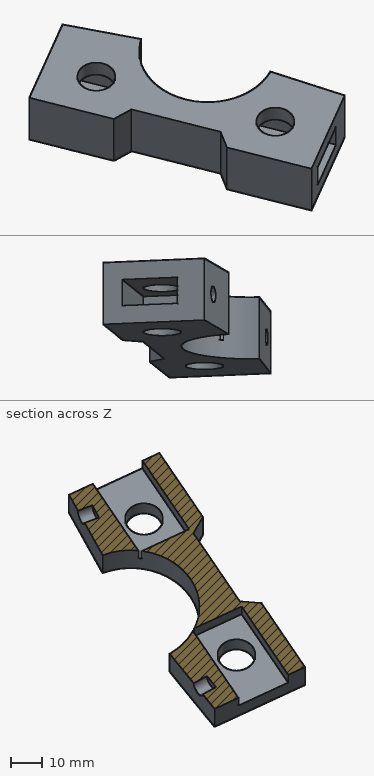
import cadquery as cq

length = 94.7
height = 20.0
peak_y = 35.1
end_y = 33.0

saddle_bottom_y = 15.2
saddle_half_width = 21.7

notch_depth = 5.7
notch_outer_half = 18.9
notch_inner_half = 15.0

bolt_diameter = 12.0
bolt_x = 30.0
bolt_y = 15.3

pocket_depth = 30.2
pocket_width = 18.0
pocket_height = 8.4
pocket_center_y = 15.2

screw_diameter = 5.0
screw_depth = 5.0
screw_x = 38.0

half_length = length / 2
mid_z = height / 2


def make_body():
    """Extrude the block outline with its saddle and front notch."""
    return (
        cq.Workplane("XY")
        .moveTo(-half_length, 0)
        .lineTo(-notch_outer_half, 0)
        .lineTo(-notch_inner_half, notch_depth)
        .lineTo(notch_inner_half, notch_depth)
        .lineTo(notch_outer_half, 0)
        .lineTo(half_length, 0)
        .lineTo(half_length, end_y)
        .lineTo(saddle_half_width, peak_y)
        .threePointArc((0, saddle_bottom_y), (-saddle_half_width, peak_y))
        .lineTo(-half_length, end_y)
        .close()
        .extrude(height)
    )


def make_pocket(side):
    """Rectangular pocket running inward from one end; it just breaks into the saddle."""
    center_x = side * (half_length - pocket_depth / 2)
    return (
        cq.Workplane("XY")
        .box(pocket_depth, pocket_width, pocket_height)
        .translate((center_x, pocket_center_y, mid_z))
    )


def make_bolt_hole(side):
    """Vertical hole through the full height."""
    return cq.Workplane("XY").center(side * bolt_x, bolt_y).circle(bolt_diameter / 2).extrude(height)


def make_screw_hole(side):
    """Blind hole square to the sloped back face, stopping short of the pocket."""
    slope = (peak_y - end_y) / (half_length - saddle_half_width)
    face_y = end_y + slope * (half_length - screw_x)
    return cq.Workplane(
        cq.Solid.makeCylinder(
            screw_diameter / 2,
            screw_depth,
            cq.Vector(side * screw_x, face_y, mid_z),
            cq.Vector(-side * slope, -1, 0),
        )
    )


result = make_body()
for side in (-1, 1):
    result = result.cut(make_pocket(side))
    result = result.cut(make_bolt_hole(side))
    result = result.cut(make_screw_hole(side))